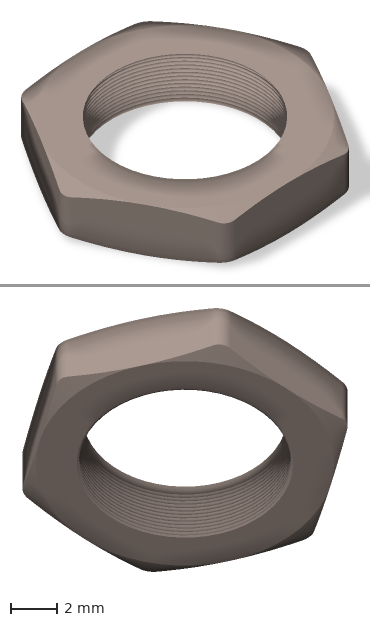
import cadquery as cq
import math

side_count = 6
across_flats = 12.954
thickness = 2.794
corner_radius = 0.762

chamfer_angle = 20.0
chamfer_reach = 2.0

lip_radius = 4.44
thread_pitch = 0.2032
thread_angle = 60.0

flat_radius = across_flats / 2
corner_diameter = across_flats / math.cos(math.pi / side_count)
groove_depth = thread_pitch / 2 / math.tan(math.radians(thread_angle / 2))
crest_radius = lip_radius + groove_depth
root_radius = crest_radius + groove_depth
groove_count = math.ceil(thickness / thread_pitch)


def revolved(points):
    """Close a (radius, height) outline and turn it about the Z axis."""
    return cq.Workplane("XZ").polyline(points).close().revolve(360, (0, 0, 0), (0, 1, 0))


def hex_blank():
    """Hexagonal prism with corners on the X axis and rounded vertical edges."""
    return (
        cq.Workplane("XY")
        .polygon(side_count, corner_diameter)
        .extrude(thickness)
        .edges("|Z")
        .fillet(corner_radius)
    )


def chamfer_envelope():
    """Turned body whose cones start at the inscribed circle and trim the hexagon's corners."""
    outer_radius = flat_radius + chamfer_reach
    drop = chamfer_reach * math.tan(math.radians(chamfer_angle))
    return revolved([
        (0, 0),
        (flat_radius, 0),
        (outer_radius, drop),
        (outer_radius, thickness - drop),
        (flat_radius, thickness),
        (0, thickness),
    ])


def threaded_bore():
    """Bore that opens from the lip on the top face into V-grooves and runs out below.

    The lip stands one groove depth inside the thread crests, so the flank under it is twice
    as long as the others and reaches the first root one full pitch down.
    """
    outline = [(0, thickness), (lip_radius, thickness)]
    for groove in range(1, groove_count + 1):
        root_height = thickness - groove * thread_pitch
        outline.append((root_radius, root_height))
        outline.append((crest_radius, root_height - thread_pitch / 2))
    outline.append((0, outline[-1][1]))
    return revolved(outline)


result = hex_blank().intersect(chamfer_envelope()).cut(threaded_bore())